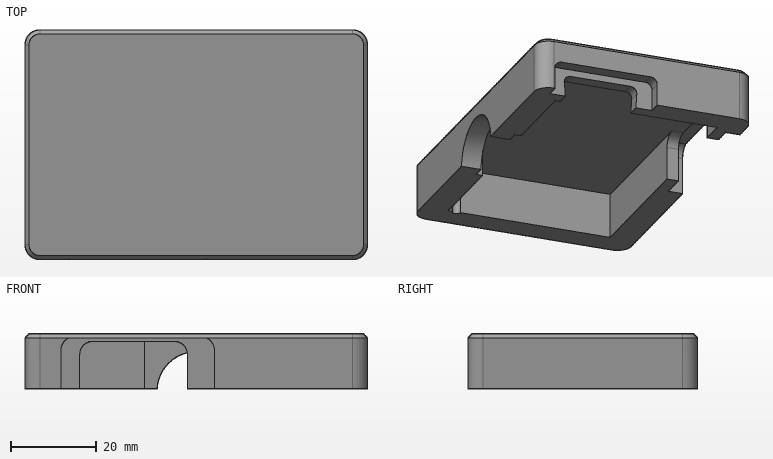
import cadquery as cq

length = 80.55
width = 54.05
height = 13.0
corner_radius = 3.55
top_chamfer = 1.0
wall = 6.5
cavity_height = 11.1

front_recess_center = -13.8
front_recess_width = 36.1
front_recess_height = 12.3
front_recess_radius = 3.3
front_recess_depth = 3.6
front_window_center = -14.75
front_window_width = 25.3
front_window_radius = 3.0

side_recess_center = 10.2
side_recess_width = 25.85
side_recess_height = 7.0
side_recess_radius = 1.7
side_recess_depth = 3.3
side_window_center = 10.3
side_window_top_width = 18.5
side_window_bottom_width = 17.9
side_window_height = 5.3
side_window_radius = 1.6

cable_radius = 9.2
cable_center_z = -0.5
relief_width = 24.3
relief_depth = 1.6

groove_diameter = 2.0
groove_center_y = 18.45

front_plane = cq.Plane((0, -width / 2, 0), xDir=(1, 0, 0), normal=(0, -1, 0))
left_plane = cq.Plane((-length / 2, 0, 0), xDir=(0, -1, 0), normal=(-1, 0, 0))
back_plane = cq.Plane((0, width / 2, 0), xDir=(-1, 0, 0), normal=(0, 1, 0))


def rounded_block():
    block = cq.Workplane("XY").box(length, width, height, centered=(True, True, False))
    return block.edges("|Z").fillet(corner_radius).faces(">Z").edges().chamfer(top_chamfer)


def opening(plane, center, bottom_width, top_width, top, radius, depth):
    """Cutter running inward from a wall, open at the bottom, with two rounded top corners."""
    profile = [
        (center - bottom_width / 2, 0),
        (center + bottom_width / 2, 0),
        (center + top_width / 2, top),
        (center - top_width / 2, top),
    ]
    cutter = cq.Workplane(plane).polyline(profile).close().extrude(-depth)
    corners = cutter.edges(">Z").edges(cq.selectors.ParallelDirSelector(plane.zDir))
    return corners.fillet(radius)


def front_opening():
    recess = opening(front_plane, front_recess_center, front_recess_width, front_recess_width,
                     front_recess_height, front_recess_radius, front_recess_depth)
    below_rim = cq.Workplane("XY").box(
        length, 2 * width, height - top_chamfer, centered=(True, True, False)
    )
    window = opening(front_plane, front_window_center, front_window_width, front_window_width,
                     cavity_height, front_window_radius, wall)
    return recess.intersect(below_rim).union(window)


def side_opening():
    recess = opening(left_plane, -side_recess_center, side_recess_width, side_recess_width,
                     side_recess_height, side_recess_radius, side_recess_depth)
    window = opening(left_plane, -side_window_center, side_window_bottom_width,
                     side_window_top_width, side_window_height, side_window_radius, wall)
    return recess.union(window)


def cable_opening():
    hole = cq.Workplane(back_plane).center(0, cable_center_z).circle(cable_radius).extrude(-wall)
    relief = cq.Workplane("XY").box(
        relief_width, relief_depth, cavity_height, centered=(True, False, False)
    )
    return hole.union(relief.translate((0, width / 2 - wall, 0)))


def cavity():
    room = cq.Workplane("XY").box(
        length - 2 * wall, width - 2 * wall, cavity_height, centered=(True, True, False)
    )
    groove = cq.Workplane("XY").center(length / 2 - wall, groove_center_y)
    return room.union(groove.circle(groove_diameter / 2).extrude(cavity_height))


result = (
    rounded_block()
    .cut(cavity())
    .cut(front_opening())
    .cut(side_opening())
    .cut(cable_opening())
)